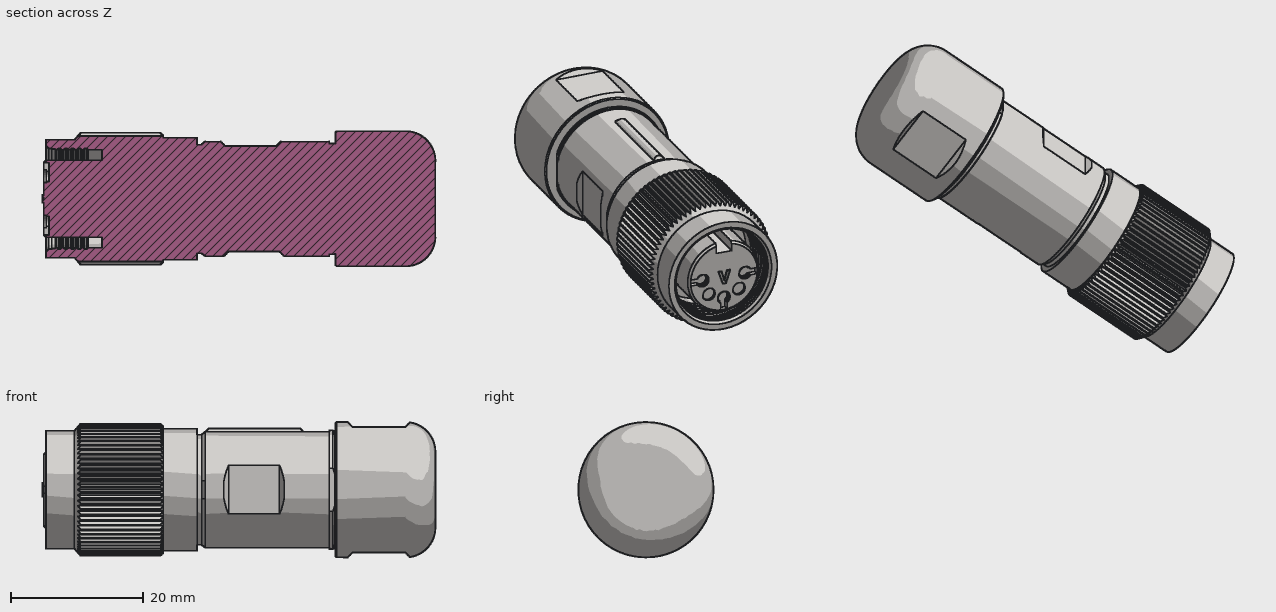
import cadquery as cq
import math


MARK_FRONT = 0.0
INSERT_FRONT = 0.2
SLEEVE_FRONT = 0.54
KNURL_LEAD_START = 4.85
KNURL_START = 5.8
KNURL_END = 18.3
RING_END = 23.4
BODY_START = 24.07
BODY_END = 43.4
NUT_START = 44.3
DOME_START = 54.9
OVERALL_LENGTH = 59.47

SLEEVE_RADIUS = 17.9 / 2
RING_RADIUS = 18.5 / 2
KNURL_ROOT_RADIUS = 9.5
KNURL_TIP_RADIUS = 10.0
KNURL_TEETH = 72
KNURL_CREST_SHARE = 0.25
KNURL_REAR_CHAMFER = 0.45

SOCKET_DEPTH = 9.0
MOUTH_RADIUS = 8.0
THREAD_ROOT_RADIUS = 15.2 / 2
THREAD_CREST_RADIUS = 14.8 / 2
LAND_RADIUS = 15.0 / 2
MOUTH_LAND_LENGTH = 0.5
THREAD_PITCH = 1.0
THREAD_GROOVES = 5

INSERT_FACE_RADIUS = 11.0 / 2
INSERT_RADIUS = 5.85
INSERT_CHAMFER = INSERT_RADIUS - INSERT_FACE_RADIUS
CONTACT_RADIUS = 2.0 / 2
CONTACT_CIRCLE_RADIUS = 3.5
CONTACT_DEPTH = 0.4
PIN_HOLE_RADIUS = 0.85
PIN_HOLE_DEPTH = 0.8
CONTACT_SLOT_WIDTH = 1.0
CONTACT_SLOT_END = 5.45
KEYWAY_WIDTH = 2.5
KEYWAY_FLOOR = 4.17
KEYWAY_STEP = 5.33
KEYWAY_TOP_RADIUS = 6.1
KEYWAY_STEP_DEPTH = 1.0
MARK_HEIGHT = 2.1
MARK_WIDTH = 1.9
MARK_STROKE = 0.5

NECK_RADIUS = 16.7 / 2
BODY_RADIUS = 17.6 / 2
BODY_LEAD_LENGTH = 0.55
SEAM_HALF_WIDTH = 1.35
BODY_FLAT_OFFSET = 8.0
BODY_FLAT_LENGTH = 7.7
BODY_FLAT_START_LEFT = 27.65
BODY_FLAT_START_RIGHT = 28.16
RIB_RADIUS = 2.0 / 2
RIB_AXIS_HEIGHT = 8.28
RIB_START = 24.4
RIB_END = 39.4
RIB_FRONT_CHAMFER = 0.75
RIB_REAR_CHAMFER = 0.4

COLLAR_RADIUS = 18.0 / 2
COLLAR_LENGTH = 0.8
COLLAR_CHAMFER = 0.25
COLLAR_FLAT_OFFSET = 8.4

NUT_RADIUS = 20.5 / 2
NUT_EDGE = 0.2
DOME_RADIUS = OVERALL_LENGTH - DOME_START
NUT_FLAT_OFFSET = 9.5
NUT_FLAT_START = 46.9
NUT_FLAT_LENGTH = DOME_START - NUT_FLAT_START


def cylinder(start, end, radius):
    return cq.Workplane("YZ", origin=(start, 0, 0)).circle(radius).extrude(end - start)


def revolve_about_x(outline):
    return outline.close().revolve(360, (0, 0, 0), (1, 0, 0))


def coupling_ring():
    return revolve_about_x(
        cq.Workplane("XY")
        .moveTo(SLEEVE_FRONT, 0)
        .lineTo(SLEEVE_FRONT, SLEEVE_RADIUS)
        .lineTo(KNURL_LEAD_START, SLEEVE_RADIUS)
        .lineTo(KNURL_START, KNURL_TIP_RADIUS)
        .lineTo(KNURL_END - KNURL_REAR_CHAMFER, KNURL_TIP_RADIUS)
        .lineTo(KNURL_END, KNURL_TIP_RADIUS - KNURL_REAR_CHAMFER)
        .lineTo(KNURL_END, RING_RADIUS)
        .lineTo(RING_END, RING_RADIUS)
        .lineTo(RING_END, 0)
    )


def knurl_grooves():
    """Cutters for the straight V grooves; the lands left between them are the tooth crests."""
    pitch_angle = 2 * math.pi / KNURL_TEETH
    mouth_angle = pitch_angle * (1 - KNURL_CREST_SHARE) / 2
    depth = KNURL_TIP_RADIUS - KNURL_ROOT_RADIUS
    half_mouth = KNURL_TIP_RADIUS * math.sin(mouth_angle)
    cutter_radius = KNURL_TIP_RADIUS + depth
    half_width = half_mouth * (cutter_radius - KNURL_ROOT_RADIUS) / depth
    grooves = cq.Workplane("YZ", origin=(KNURL_LEAD_START, 0, 0))
    for i in range(KNURL_TEETH):
        direction = cq.Vector(math.cos(i * pitch_angle), math.sin(i * pitch_angle))
        across = cq.Vector(-direction.y, direction.x)
        outer = direction * cutter_radius
        side = across * half_width
        corners = [direction * KNURL_ROOT_RADIUS, outer + side, outer - side]
        grooves = grooves.polyline([(corner.x, corner.y) for corner in corners]).close()
    return grooves.extrude(KNURL_END - KNURL_LEAD_START)


def socket_cavity():
    """Threaded bore of the ring, opened by a conical mouth."""
    mouth_end = SLEEVE_FRONT + MOUTH_RADIUS - THREAD_ROOT_RADIUS
    land_start = mouth_end + MOUTH_LAND_LENGTH
    thread_start = land_start + MOUTH_LAND_LENGTH
    outline = (
        cq.Workplane("XY")
        .moveTo(SLEEVE_FRONT, 0)
        .lineTo(SLEEVE_FRONT, MOUTH_RADIUS)
        .lineTo(mouth_end, THREAD_ROOT_RADIUS)
        .lineTo(land_start, THREAD_ROOT_RADIUS)
        .lineTo(land_start, LAND_RADIUS)
        .lineTo(thread_start, LAND_RADIUS)
        .lineTo(thread_start, THREAD_CREST_RADIUS)
    )
    quarter_pitch = THREAD_PITCH / 4
    for i in range(THREAD_GROOVES):
        groove_start = thread_start + i * THREAD_PITCH + quarter_pitch
        outline = (
            outline.lineTo(groove_start, THREAD_CREST_RADIUS)
            .lineTo(groove_start + quarter_pitch, THREAD_ROOT_RADIUS)
            .lineTo(groove_start + 2 * quarter_pitch, THREAD_ROOT_RADIUS)
            .lineTo(groove_start + 3 * quarter_pitch, THREAD_CREST_RADIUS)
        )
    return revolve_about_x(
        outline.lineTo(SOCKET_DEPTH, THREAD_CREST_RADIUS).lineTo(SOCKET_DEPTH, 0)
    )


def insert():
    rear = SOCKET_DEPTH + KEYWAY_STEP_DEPTH
    return cylinder(INSERT_FRONT, rear, INSERT_RADIUS).faces("<X").chamfer(INSERT_CHAMFER)


def keyway():
    """Keyway along the insert, stepped where it runs on below the socket floor."""
    step_end = SOCKET_DEPTH + KEYWAY_STEP_DEPTH
    lower_end = step_end + KEYWAY_STEP_DEPTH

    def slot(end, top):
        return cq.Workplane("XY", origin=(0, 0, KEYWAY_FLOOR)).box(
            end, KEYWAY_WIDTH, top - KEYWAY_FLOOR, centered=(False, True, False)
        )

    upper = slot(step_end, KEYWAY_TOP_RADIUS).intersect(cylinder(0, step_end, KEYWAY_TOP_RADIUS))
    return upper.union(slot(lower_end, KEYWAY_STEP))


def contact_hole(angle, slotted):
    """Contact hole at an angle from +Y; a slotted one has a keyhole slot running outward."""
    hole = (
        cq.Workplane("YZ", origin=(INSERT_FRONT, 0, 0))
        .center(CONTACT_CIRCLE_RADIUS, 0)
        .circle(CONTACT_RADIUS)
        .extrude(CONTACT_DEPTH)
    )
    if slotted:
        slot = cq.Workplane("XY", origin=(INSERT_FRONT, CONTACT_CIRCLE_RADIUS, 0)).box(
            PIN_HOLE_DEPTH,
            CONTACT_SLOT_END - CONTACT_CIRCLE_RADIUS,
            CONTACT_SLOT_WIDTH,
            centered=(False, False, True),
        )
        pin_hole = (
            cq.Workplane("YZ", origin=(INSERT_FRONT, 0, 0))
            .center(CONTACT_CIRCLE_RADIUS, 0)
            .circle(PIN_HOLE_RADIUS)
            .extrude(PIN_HOLE_DEPTH)
        )
        hole = hole.union(slot).union(pin_hole)
    return hole.rotate((0, 0, 0), (1, 0, 0), angle)


def raised_mark():
    """V-shaped mark on the insert face, point toward -Z."""
    half_width = MARK_WIDTH / 2
    top = MARK_HEIGHT / 2
    return (
        cq.Workplane("YZ", origin=(MARK_FRONT, 0, 0))
        .polyline(
            [
                (-half_width, top),
                (MARK_STROKE - half_width, top),
                (0, MARK_STROKE - top),
                (half_width - MARK_STROKE, top),
                (half_width, top),
                (MARK_STROKE / 2, -top),
                (-MARK_STROKE / 2, -top),
            ]
        )
        .close()
        .extrude(INSERT_FRONT - MARK_FRONT)
    )


def body():
    return revolve_about_x(
        cq.Workplane("XY")
        .moveTo(RING_END, 0)
        .lineTo(RING_END, NECK_RADIUS)
        .lineTo(BODY_START, NECK_RADIUS)
        .lineTo(BODY_START + BODY_LEAD_LENGTH, BODY_RADIUS)
        .lineTo(BODY_END, BODY_RADIUS)
        .lineTo(BODY_END, NECK_RADIUS)
        .lineTo(NUT_START, NECK_RADIUS)
        .lineTo(NUT_START, 0)
    )


def seam_flat(side):
    """Cutter for the narrow flat strip along one side (+1 or -1 in Y) of the neck and body."""
    neck_flat = math.sqrt(NECK_RADIUS**2 - SEAM_HALF_WIDTH**2)
    body_flat = math.sqrt(BODY_RADIUS**2 - SEAM_HALF_WIDTH**2)
    return (
        cq.Workplane("XY", origin=(0, 0, -SEAM_HALF_WIDTH))
        .polyline(
            [
                (RING_END, side * neck_flat),
                (BODY_START, side * neck_flat),
                (BODY_START + BODY_LEAD_LENGTH, side * body_flat),
                (BODY_END, side * body_flat),
                (BODY_END, side * NUT_RADIUS),
                (RING_END, side * NUT_RADIUS),
            ]
        )
        .close()
        .extrude(2 * SEAM_HALF_WIDTH)
    )


def wrench_flat(plane, start, length, offset, depth):
    """Cutter with a flat floor and 45 degree end ramps; negative offset and depth cut the far side."""
    run = abs(depth)
    return (
        cq.Workplane(plane)
        .polyline(
            [
                (start, offset),
                (start + length, offset),
                (start + length + run, offset + depth),
                (start - run, offset + depth),
            ]
        )
        .close()
        .extrude(NUT_RADIUS, both=True)
    )


def rib():
    """Half-round rib along the top of the body, sloped at both ends."""
    top = RIB_AXIS_HEIGHT + RIB_RADIUS
    bar = (
        cq.Workplane("YZ", origin=(RIB_START, 0, 0))
        .center(0, RIB_AXIS_HEIGHT)
        .circle(RIB_RADIUS)
        .extrude(RIB_END - RIB_START)
    )
    profile = (
        cq.Workplane("XZ")
        .polyline(
            [
                (RIB_START, RIB_AXIS_HEIGHT - RIB_RADIUS),
                (RIB_START, top - RIB_FRONT_CHAMFER),
                (RIB_START + RIB_FRONT_CHAMFER, top),
                (RIB_END - RIB_REAR_CHAMFER, top),
                (RIB_END, top - RIB_REAR_CHAMFER),
                (RIB_END, RIB_AXIS_HEIGHT - RIB_RADIUS),
            ]
        )
        .close()
        .extrude(RIB_RADIUS, both=True)
    )
    return bar.intersect(profile)


def collar():
    disc = cylinder(BODY_END, BODY_END + COLLAR_LENGTH, COLLAR_RADIUS)
    disc = disc.faces(">X").chamfer(COLLAR_CHAMFER)
    between_flats = cq.Workplane("XY", origin=(BODY_END, 0, 0)).box(
        COLLAR_LENGTH, 2 * COLLAR_FLAT_OFFSET, 2 * COLLAR_RADIUS, centered=(False, True, True)
    )
    return disc.intersect(between_flats)


def clamping_nut():
    diagonal = DOME_RADIUS * math.sqrt(0.5)
    dome_center_radius = NUT_RADIUS - DOME_RADIUS
    nut = revolve_about_x(
        cq.Workplane("XY")
        .moveTo(NUT_START, 0)
        .lineTo(NUT_START, NUT_RADIUS - NUT_EDGE)
        .lineTo(NUT_START + NUT_EDGE, NUT_RADIUS)
        .lineTo(DOME_START, NUT_RADIUS)
        .threePointArc(
            (DOME_START + diagonal, dome_center_radius + diagonal),
            (OVERALL_LENGTH, dome_center_radius),
        )
        .lineTo(OVERALL_LENGTH, 0)
    )
    depth = NUT_RADIUS - NUT_FLAT_OFFSET
    for side in (1, -1):
        nut = nut.cut(
            wrench_flat("XZ", NUT_FLAT_START, NUT_FLAT_LENGTH, side * NUT_FLAT_OFFSET, side * depth)
        )
    return nut


def finished_body():
    part = body()
    depth = BODY_RADIUS - BODY_FLAT_OFFSET
    for side, start in ((1, BODY_FLAT_START_LEFT), (-1, BODY_FLAT_START_RIGHT)):
        part = part.cut(seam_flat(side))
        part = part.cut(
            wrench_flat("XY", start, BODY_FLAT_LENGTH, side * BODY_FLAT_OFFSET, side * depth)
        )
    return part.union(rib()).union(collar())


def mating_end():
    part = coupling_ring().cut(knurl_grooves()).cut(socket_cavity()).union(insert()).cut(keyway())
    for angle in (0, 180, -90):
        part = part.cut(contact_hole(angle, slotted=True))
    for angle in (-45, -135):
        part = part.cut(contact_hole(angle, slotted=False))
    return part.union(raised_mark())


result = mating_end().union(finished_body()).union(clamping_nut())